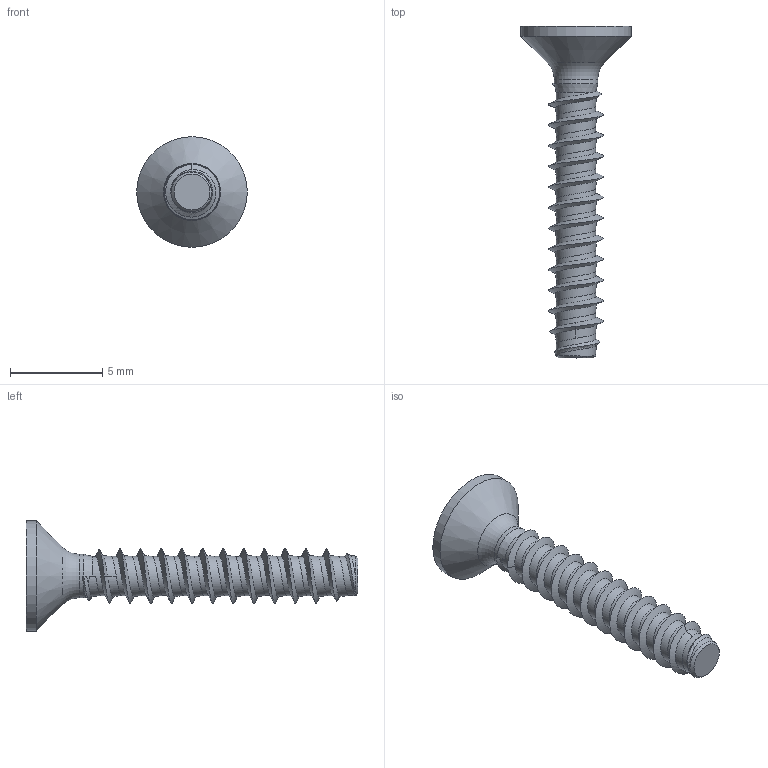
import cadquery as cq
import math


screw_length = 18.0
tip_overrun = 1.5
uncut_length = screw_length + tip_overrun

head_radius = 3.0
head_rim_depth = 0.55
cone_end_depth = 2.0
cone_end_radius = head_radius - (cone_end_depth - head_rim_depth)

neck_fillet_radius = 1.25
fillet_sweep = math.radians(45)
neck_radius = cone_end_radius - neck_fillet_radius * (1 - math.cos(fillet_sweep))
neck_depth = cone_end_depth + neck_fillet_radius * math.sin(fillet_sweep)

core_radius = 1.06
core_taper_start_depth = 3.13
core_taper_end_depth = 3.6
tip_face_radius = 0.97

pitch = 1.12
start_runout_turns = 1
full_turns = 10.75
end_runout_turns = 1.5
thread_start_depth = core_taper_start_depth
crest_radius = 1.5
start_crest_radius = 1.28
end_crest_radius = 1.08
root_half_width = 0.24
root_sink = 0.08
floor_sink = 0.02
root_radius = core_radius - root_sink
floor_high_radius = 1.12
floor_high_offset = 0.17
floor_low_radius = core_radius - floor_sink
floor_low_offset = 0.8
points_per_turn = 24


def make_body():
    """Revolve the head, neck and shank core around Y."""
    mid_sweep = fillet_sweep / 2
    fillet_mid = (
        neck_radius + neck_fillet_radius * (1 - math.cos(mid_sweep)),
        -(neck_depth - neck_fillet_radius * math.sin(mid_sweep)),
    )
    profile = (
        cq.Workplane("XY")
        .moveTo(0, 0)
        .lineTo(head_radius, 0)
        .lineTo(head_radius, -head_rim_depth)
        .lineTo(cone_end_radius, -cone_end_depth)
        .threePointArc(fillet_mid, (neck_radius, -neck_depth))
        .lineTo(neck_radius, -core_taper_start_depth)
        .lineTo(core_radius, -core_taper_end_depth)
        .lineTo(core_radius, -uncut_length)
        .lineTo(0, -uncut_length)
        .close()
    )
    return profile.revolve(360, (0, 0, 0), (0, 1, 0)).val()


def helix_edge(first_turn, turns, first_radius, last_radius, crest_offset):
    """Helical edge, counted in turns from -X, whose radius changes evenly along it."""
    count = round(turns * points_per_turn)
    points = []
    for i in range(count + 1):
        turn = first_turn + i / points_per_turn
        angle = 2 * math.pi * turn
        radius = first_radius + (last_radius - first_radius) * i / count
        depth = thread_start_depth + pitch * turn + crest_offset
        points.append(cq.Vector(-radius * math.cos(angle), -depth, -radius * math.sin(angle)))
    return cq.Edge.makeSpline(points)


def thread_section(first_turn, turns, first_crest, last_crest):
    """Thread ridge and sloping floor, bounded by helical faces and two flat ends."""
    corners = [
        (root_radius, root_radius, -root_half_width),
        (first_crest, last_crest, 0),
        (floor_high_radius, floor_high_radius, floor_high_offset),
        (floor_low_radius, floor_low_radius, floor_low_offset),
        (root_radius, root_radius, floor_low_offset),
    ]
    edges = [helix_edge(first_turn, turns, *corner) for corner in corners]
    faces = []
    for i, edge in enumerate(edges):
        faces.append(cq.Face.makeRuledSurface(edge, edges[(i + 1) % len(edges)]))
    for outline in ([e.startPoint() for e in edges], [e.endPoint() for e in edges]):
        faces.append(cq.Face.makeFromWires(cq.Wire.makePolygon(outline, close=True)))
    return cq.Solid.makeSolid(cq.Shell.makeShell(faces)).fix()


def make_thread():
    """Rising run-out, full thread and falling run-out."""
    full_start = start_runout_turns
    full_end = full_start + full_turns
    return [
        thread_section(0, start_runout_turns, start_crest_radius, crest_radius),
        thread_section(full_start, full_turns, crest_radius, crest_radius),
        thread_section(full_end, end_runout_turns, crest_radius, end_crest_radius),
    ]


def make_end_limit():
    """Envelope that cuts the tip square and chamfers its rim at 45 degrees."""
    chamfer_start_depth = screw_length - (head_radius - tip_face_radius)
    outline = [
        (0, 0),
        (head_radius, 0),
        (head_radius, -chamfer_start_depth),
        (tip_face_radius, -screw_length),
        (0, -screw_length),
    ]
    profile = cq.Workplane("XY").polyline(outline).close()
    return profile.revolve(360, (0, 0, 0), (0, 1, 0)).val()


threaded_body = make_body().fuse(*make_thread())
trimmed_screw = threaded_body.intersect(make_end_limit())
result = cq.Workplane("XY").newObject([trimmed_screw]).solids()